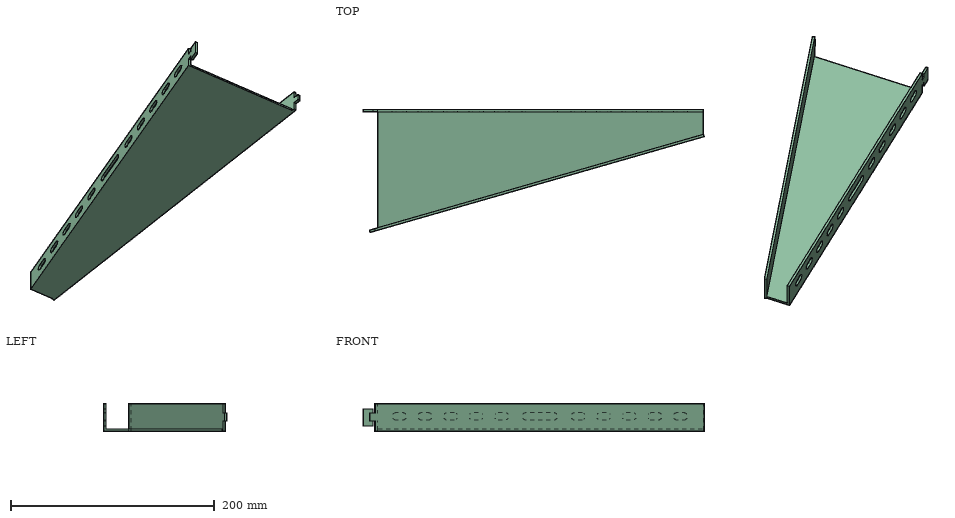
import cadquery as cq
import math

length = 335.0
width = 121.0
height = 27.0
sheet = 2.5
base_start = 14.0
base_end = 334.0

slope = 16.0
hook_reach = 5.5
hook_tip_x = 6.7

neck_bottom = 10.0
neck_top = 18.0
head_length = 9.7
head_bottom = 5.0
head_top = height - head_bottom

slot_pitch = 25.0
slots_per_side = 5
long_slot_gap = 37.5
slot_length = 14.0
long_slot_length = 35.0
slot_height = 7.0
slot_level = 14.7
slot_centre_x = 173.5

tangent = math.tan(math.radians(slope))
cosine = math.cos(math.radians(slope))
flange_length = (length - hook_tip_x) / cosine


def block(x_start, x_end, y_start, y_end, z_start, z_end):
    """Box given by its limits along each axis."""
    return cq.Workplane("XY").box(
        x_end - x_start, y_end - y_start, z_end - z_start, centered=False
    ).translate((x_start, y_start, z_start))


def outer_y(x):
    """Position of the sloping outer face at a given x."""
    return (x - hook_tip_x) * tangent


def base_plate():
    outline = [
        (base_start, width),
        (base_start, outer_y(base_start)),
        (base_end, outer_y(base_end)),
        (base_end, width),
    ]
    return cq.Workplane("XY").polyline(outline).close().extrude(sheet)


def rear_flange():
    inner_y = width - sheet
    wall = block(base_start, base_end, inner_y, width, 0, height)
    neck = block(head_length, base_start, inner_y, width, neck_bottom, neck_top)
    head = block(0, head_length, inner_y, width, head_bottom, head_top)
    return wall.union(neck).union(head)


def front_flange():
    wall = block(hook_reach, flange_length, 0, sheet, 0, height)
    neck = block(0, hook_reach, 0, sheet, neck_bottom, neck_top)
    flange = wall.union(neck).rotate((0, 0, 0), (0, 0, 1), slope)
    return flange.translate((hook_tip_x, 0, 0))


def rear_slots():
    short_offsets = [long_slot_gap + i * slot_pitch for i in range(slots_per_side)]
    short_centres = [(side * offset, 0) for side in (-1, 1) for offset in short_offsets]
    plane = cq.Workplane("XZ", origin=(slot_centre_x, width, slot_level))
    short_slots = plane.pushPoints(short_centres).slot2D(slot_length, slot_height).extrude(sheet)
    long_slot = plane.slot2D(long_slot_length, slot_height).extrude(sheet)
    return short_slots.union(long_slot)


result = base_plate().union(rear_flange()).union(front_flange()).cut(rear_slots())